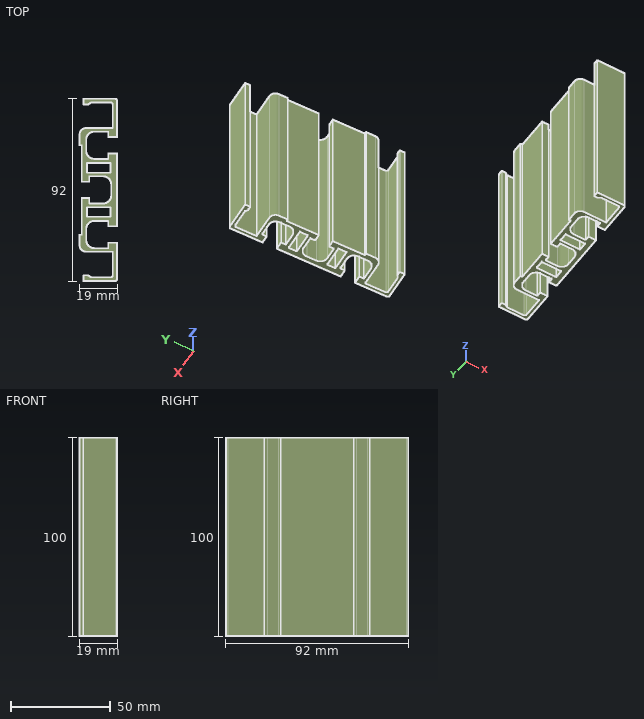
import cadquery as cq

depth = 19.0
width = 92.0
length = 100.0

back = -depth / 2
face = depth / 2

arm_depth = 17.0
arm_thickness = 2.0
wall_thickness = 2.2
lip_thickness = 3.0
lip_radius = 0.4
arm_inner_radius = 1.0
arm_outer_radius = 1.0
lip_flat = 2.4
lip_ramp = 1.5

body_half_width = 31.25
body_radius = 3.5
recess_half_width = 22.5
recess_depth = 1.1

slot_spacing = 22.5
side_slot_opening = 8.2
center_slot_opening = 8.0
slot_width = 13.6
slot_depth = 11.0
slot_radius = 4.0
side_slot_lip = 4.5
center_slot_floor = 3.0

chamber_y = 11.1
chamber_height = 4.7
chamber_near = 3.4
chamber_far = 15.1


def block(x_min, x_max, y_min, y_max):
    """Full-length block between two X and two Y limits."""
    return (
        cq.Workplane("XY")
        .box(x_max - x_min, y_max - y_min, length, centered=False)
        .translate((x_min, y_min, 0))
    )


def body():
    """Central body with rounded back corners and its recessed back."""
    solid = block(back, face, -body_half_width, body_half_width)
    solid = solid.edges("|Z and <X").fillet(body_radius)
    return solid.cut(block(back, back + recess_depth, -recess_half_width, recess_half_width))


def side_arm():
    """L-shaped arm on the +Y side, ending in a thicker lip with a ramp."""
    outer = width / 2
    root = slot_spacing + slot_width / 2
    tip = face - arm_depth
    inner = outer - arm_thickness
    lip = outer - lip_thickness
    return (
        cq.Workplane("XY")
        .moveTo(tip, outer)
        .lineTo(face - arm_outer_radius, outer)
        .radiusArc((face, outer - arm_outer_radius), arm_outer_radius)
        .lineTo(face, root)
        .lineTo(face - wall_thickness, root)
        .lineTo(face - wall_thickness, inner - arm_inner_radius)
        .radiusArc((face - wall_thickness - arm_inner_radius, inner), -arm_inner_radius)
        .lineTo(tip + lip_flat + lip_ramp, inner)
        .lineTo(tip + lip_flat, lip)
        .lineTo(tip + lip_radius, lip)
        .radiusArc((tip, lip + lip_radius), lip_radius)
        .close()
        .extrude(length)
    )


def slot_cavity(x_min, x_max, y, floor_edges):
    """Wide part of a T-slot centred at y, with its two floor corners rounded."""
    cavity = block(x_min, x_max, y - slot_width / 2, y + slot_width / 2)
    return cavity.edges(floor_edges).fillet(slot_radius)


def side_slot(y):
    """T-slot centred at y that opens on the +X face."""
    mouth = face - side_slot_lip
    floor = mouth - slot_depth
    cavity = slot_cavity(floor, mouth, y, "|Z and <X")
    return cavity.union(block(mouth, face, y - side_slot_opening / 2, y + side_slot_opening / 2))


def center_slot():
    """T-slot on the centre line that opens on the -X back."""
    floor = face - center_slot_floor
    mouth = floor - slot_depth
    cavity = slot_cavity(mouth, floor, 0, "|Z and >X")
    return cavity.union(block(back, mouth, -center_slot_opening / 2, center_slot_opening / 2))


def chamber(y):
    """Closed rectangular passage centred at y."""
    return block(face - chamber_far, face - chamber_near, y - chamber_height / 2, y + chamber_height / 2)


arm = side_arm()
result = body().union(arm).union(arm.mirror("XZ")).cut(center_slot())
for side in (-1, 1):
    result = result.cut(side_slot(side * slot_spacing))
    result = result.cut(chamber(side * chamber_y))